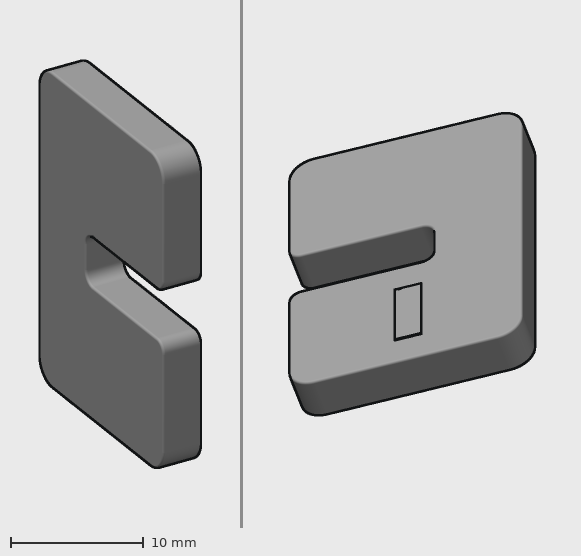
import cadquery as cq

width = 18.5
height = 27.0
overall_depth = 3.5
pad_height = 0.1
plate_depth = overall_depth - pad_height

corner_radius = 2.0
edge_radius = 0.2

slot_width = 4.2
slot_wall = 7.02
slot_radius = 1.0

pad_width = 2.1
pad_length = 6.0
pad_offset_x = -0.22
pad_offset_z = -7.88

right_side = width / 2
slot_floor = slot_wall - width / 2
slot_depth = right_side - slot_floor


def box(size_x, size_y, size_z, center_x, front_y, center_z):
    """Box centred on X and Z that starts at front_y and grows toward +Y."""
    center = (center_x, front_y + size_y / 2, center_z)
    return cq.Workplane("XY").box(size_x, size_y, size_z).translate(center)


def round_slot_corners(body, corner_x):
    """Round the two through-going slot edges at the given X."""
    margin = slot_radius / 2
    low = (corner_x - margin, -margin, -slot_width / 2 - margin)
    high = (corner_x + margin, plate_depth + margin, slot_width / 2 + margin)
    return body.edges("|Y").edges(cq.selectors.BoxSelector(low, high)).fillet(slot_radius)


def slotted_plate():
    """Rounded plate with a slot open to +X and softened face edges."""
    plate = box(width, plate_depth, height, 0, 0, 0).edges("|Y").fillet(corner_radius)
    slot_center = slot_floor + slot_depth / 2
    plate = plate.cut(box(slot_depth, plate_depth, slot_width, slot_center, 0, 0))
    for corner_x in (slot_floor, right_side):
        plate = round_slot_corners(plate, corner_x)
    return plate.faces("<Y or >Y").edges().fillet(edge_radius)


def raised_pad():
    """Thin rectangular pad on the back face, sunk into the plate so that the two merge."""
    size_y = overall_depth - plate_depth / 2
    return box(pad_width, size_y, pad_length, pad_offset_x, plate_depth / 2, pad_offset_z)


result = slotted_plate().union(raised_pad())